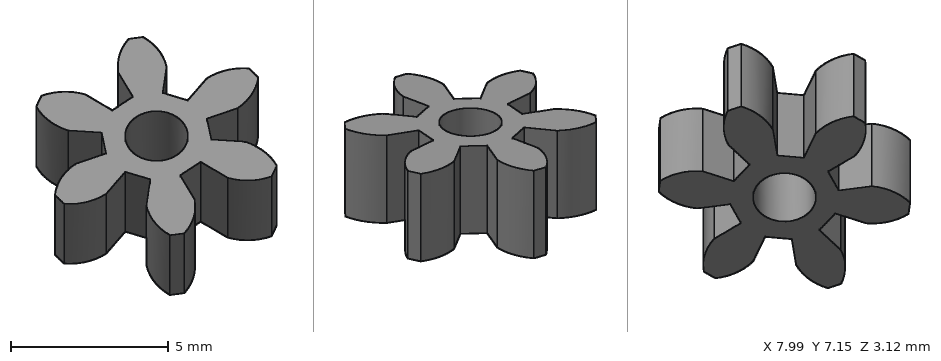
import cadquery as cq
import math

tooth_count = 6
tip_flat_x = 3.995
thickness = 3.12
bore_diameter = 2.0

hub_apothem = 1.69
root_half_width = 0.48
shoulder_x = 2.71
shoulder_half_width = 0.775
crown_mid_x = 3.395
crown_mid_half_width = 0.63
tip_half_width = 0.23

half_pitch = math.pi / tooth_count
root_x = (hub_apothem - root_half_width * math.sin(half_pitch)) / math.cos(half_pitch)


def rotated(x, y, angle):
    """Turn a point about the gear axis by an angle in radians."""
    cosine = math.cos(angle)
    sine = math.sin(angle)
    return (x * cosine - y * sine, x * sine + y * cosine)


def add_tooth(outline, angle):
    """Draw one tooth anticlockwise, from the floor before it to its far root corner."""
    return (
        outline.lineTo(*rotated(root_x, -root_half_width, angle))
        .lineTo(*rotated(shoulder_x, -shoulder_half_width, angle))
        .threePointArc(
            rotated(crown_mid_x, -crown_mid_half_width, angle),
            rotated(tip_flat_x, -tip_half_width, angle),
        )
        .lineTo(*rotated(tip_flat_x, tip_half_width, angle))
        .threePointArc(
            rotated(crown_mid_x, crown_mid_half_width, angle),
            rotated(shoulder_x, shoulder_half_width, angle),
        )
        .lineTo(*rotated(root_x, root_half_width, angle))
    )


start_point = rotated(hub_apothem, 0, -half_pitch)
gear_outline = cq.Workplane("XY").moveTo(*start_point)
for tooth in range(tooth_count):
    gear_outline = add_tooth(gear_outline, 2 * half_pitch * tooth)
gear = gear_outline.close().extrude(thickness)

bore = cq.Workplane("XY").circle(bore_diameter / 2).extrude(thickness)

result = gear.cut(bore)